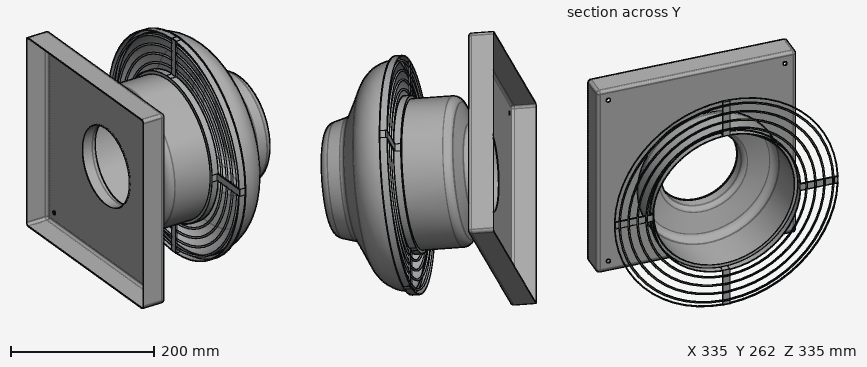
import cadquery as cq
import math

OUTER_RADIUS = 167.5
HEIGHT = 262.0
WALL = 1.0

TRAY_SIDE = 298.8
TRAY_DEPTH = 36.2
TRAY_WALL = 1.5
TRAY_ROUND = 5.0
MOUNT_HOLE_OFFSET = 132.3
MOUNT_HOLE_DIAMETER = 6.0

NECK_RADIUS = 61.0
NECK_TOP_Y = 57.5
NECK_ROUND = 8.0
DRUM_RADIUS = 106.2
DRUM_BOTTOM_Y = 71.0
DRUM_ROUND = 13.5

COLLAR_RADIUS = 111.2
COLLAR_START_Y = 139.0
GRILLE_Y = 147.7
GRILLE_THICKNESS = 2.0
RIM_END_Y = 158.8
SPOKE_WIDTH = 10.7
SPOKE_COUNT = 4
RING_COUNT = 4
WIRE_DIAMETER = 2.7
RING_PITCH = 13.5
LARGEST_RING_RADIUS = 160.0

DOME_RADIUS = 162.0
SHOULDER_Y = 189.3
SHOULDER_ROUND = 49.5
THROAT_RADIUS = 88.5
THROAT_Y = 227.0
THROAT_ROUND = 11.5
CAP_RADIUS = 78.7
CAP_ROUND = 15.7


def turned(corners):
    """Turn an outline about the Y axis; each corner is (radius, y, rounding radius)."""
    outline = None
    for index, (radius, y, rounding) in enumerate(corners):
        corner = cq.Vector(y, radius)
        previous_radius, previous_y, _ = corners[index - 1]
        next_radius, next_y, _ = corners[(index + 1) % len(corners)]
        to_previous = (cq.Vector(previous_y, previous_radius) - corner).normalized()
        to_next = (cq.Vector(next_y, next_radius) - corner).normalized()
        half_angle = to_previous.getAngle(to_next) / 2
        tangent_length = rounding / math.tan(half_angle)
        start = corner + to_previous * tangent_length
        if outline is None:
            outline = cq.Workplane("YZ").moveTo(start.x, start.y)
        else:
            outline = outline.lineTo(start.x, start.y)
        if rounding > 0:
            bisector = (to_previous + to_next).normalized()
            middle = corner + bisector * (rounding / math.sin(half_angle) - rounding)
            end = corner + to_next * tangent_length
            outline = outline.threePointArc((middle.x, middle.y), (end.x, end.y))
    return outline.close().revolve(360, (0, 0, 0), (1, 0, 0))


def tube(outer_radius, inner_radius, start_y, end_y):
    return turned([
        (inner_radius, start_y, 0),
        (outer_radius, start_y, 0),
        (outer_radius, end_y, 0),
        (inner_radius, end_y, 0),
    ])


def radial_bar(inner_radius, outer_radius, start_y, end_y):
    """A bar of spoke width along +X."""
    bar = cq.Workplane("XY").box(
        outer_radius - inner_radius, end_y - start_y, SPOKE_WIDTH, centered=(False, False, True)
    )
    return bar.translate((inner_radius, start_y, 0))


def make_tray():
    tray = cq.Workplane("XY").box(TRAY_SIDE, TRAY_DEPTH, TRAY_SIDE, centered=(True, False, True))
    tray = tray.edges("|Y").fillet(TRAY_ROUND)
    tray = tray.faces(">Y").edges().fillet(TRAY_ROUND)
    tray = tray.faces("<Y").shell(-TRAY_WALL)
    offsets = (-MOUNT_HOLE_OFFSET, MOUNT_HOLE_OFFSET)
    mount_holes = (
        cq.Workplane("XZ")
        .pushPoints([(x, z) for x in offsets for z in offsets])
        .circle(MOUNT_HOLE_DIAMETER / 2)
        .extrude(-TRAY_DEPTH)
    )
    air_opening = cq.Workplane("XZ").circle(NECK_RADIUS - WALL).extrude(-TRAY_DEPTH)
    return tray.cut(mount_holes).cut(air_opening)


def make_drum():
    neck_start_y = TRAY_DEPTH - TRAY_WALL
    drum = turned([
        (0, neck_start_y, 0),
        (NECK_RADIUS, neck_start_y, 0),
        (NECK_RADIUS, NECK_TOP_Y, NECK_ROUND),
        (DRUM_RADIUS, DRUM_BOTTOM_Y, DRUM_ROUND),
        (DRUM_RADIUS, COLLAR_START_Y + WALL, 0),
        (0, COLLAR_START_Y + WALL, 0),
    ])
    return drum.faces("<Y or >Y").shell(-WALL)


def make_dome():
    dome = turned([
        (0, RIM_END_Y - WALL, 0),
        (DOME_RADIUS, RIM_END_Y - WALL, 0),
        (DOME_RADIUS, SHOULDER_Y, SHOULDER_ROUND),
        (THROAT_RADIUS, THROAT_Y, THROAT_ROUND),
        (CAP_RADIUS, HEIGHT, CAP_ROUND),
        (0, HEIGHT, 0),
    ])
    return dome.faces("<Y").shell(-WALL)


def make_collar():
    flange = tube(COLLAR_RADIUS, DRUM_RADIUS - WALL, COLLAR_START_Y, COLLAR_START_Y + WALL)
    wall = tube(COLLAR_RADIUS, COLLAR_RADIUS - WALL, COLLAR_START_Y, GRILLE_Y + GRILLE_THICKNESS)
    return flange.union(wall)


def make_rim():
    flange = tube(OUTER_RADIUS, DOME_RADIUS - WALL, RIM_END_Y - WALL, RIM_END_Y)
    wall = tube(OUTER_RADIUS, OUTER_RADIUS - WALL, GRILLE_Y, RIM_END_Y)
    return flange.union(wall)


def make_spoke():
    """A flat strip bent down along the collar and back along the rim."""
    collar_inner = COLLAR_RADIUS - WALL
    grille_end_y = GRILLE_Y + GRILLE_THICKNESS
    strip = radial_bar(collar_inner, OUTER_RADIUS, GRILLE_Y, grille_end_y)
    collar_tab = radial_bar(collar_inner, COLLAR_RADIUS, COLLAR_START_Y, grille_end_y)
    rim_tab = radial_bar(OUTER_RADIUS - WALL, OUTER_RADIUS, GRILLE_Y, RIM_END_Y)
    return strip.union(collar_tab).union(rim_tab)


def make_wire_ring(radius):
    """A round wire centred on the back face of the spoke strips."""
    centre = cq.Vector(0, GRILLE_Y + GRILLE_THICKNESS, 0)
    ring = cq.Solid.makeTorus(radius, WIRE_DIAMETER / 2, centre, cq.Vector(0, 1, 0))
    half_spoke_angle = 180 / SPOKE_COUNT
    return cq.Workplane(ring.rotate((0, 0, 0), (0, 1, 0), half_spoke_angle))


def make_grille():
    grille = make_collar().union(make_rim())
    spoke = make_spoke()
    for index in range(SPOKE_COUNT):
        grille = grille.union(spoke.rotate((0, 0, 0), (0, 1, 0), index * 360 / SPOKE_COUNT))
    for index in range(RING_COUNT):
        grille = grille.union(make_wire_ring(LARGEST_RING_RADIUS - index * RING_PITCH))
    return grille


fan = make_tray().union(make_drum()).union(make_grille()).union(make_dome())
result = cq.Workplane(fan.solids().val())